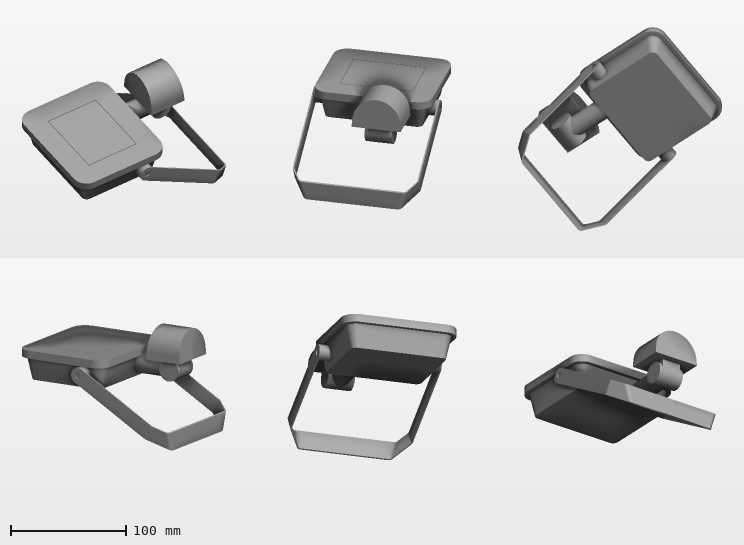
import cadquery as cq
import math


frame_x = 105.3
frame_y = 88.8
frame_thickness = 7.2
frame_corner_radius = 12.7
body_top_x = 96.8
body_top_y = 80.6
body_top_radius = 8.9
body_taper = 4.6
body_bottom_radius = 5.0
housing_height = 28.1

window_x = 65.6
window_y = 49.8
groove_width = 0.6
groove_depth = 0.6

bracket_x = 113.0
bracket_thickness = 1.2
strap_width = 14.0
strap_tilt = 30.0
hinge_y = 20.8
hinge_z = -15.0
hinge_hole_diameter = 5.5
web_outer_y = 152.6 - frame_y / 2
leg_length = 83.3
corner_angle = 32.0
bend_radius = 4.0

sensor_x = -17.4
sensor_y = 75.4
head_width = 44.0
head_depth = 34.5
head_bottom_z = -6.3
dome_base_z = 0.5
head_top_z = 21.0
head_draft = 3.7
arm_diameter = 18.0
elbow_diameter = 19.7
elbow_length = 24.4
neck_width = arm_diameter
elbow_z = head_bottom_z - elbow_diameter / 2


def rounded_rectangle(size_x, size_y, radius):
    return cq.Sketch().rect(size_x, size_y).vertices().fillet(radius)


def make_housing():
    frame = (
        cq.Workplane("XY")
        .placeSketch(rounded_rectangle(frame_x, frame_y, frame_corner_radius))
        .extrude(-frame_thickness)
    )
    body_height = housing_height - frame_thickness
    upper = rounded_rectangle(body_top_x, body_top_y, body_top_radius)
    lower = rounded_rectangle(
        body_top_x - 2 * body_taper, body_top_y - 2 * body_taper, body_bottom_radius
    )
    body = (
        cq.Workplane("XY", origin=(0, 0, -frame_thickness))
        .placeSketch(upper, lower.moved(cq.Location(cq.Vector(0, 0, -body_height))))
        .loft()
    )
    boss_span = bracket_x - 2 * bracket_thickness
    bosses = (
        cq.Workplane("YZ", origin=(-boss_span / 2, hinge_y, hinge_z))
        .circle(strap_width / 2)
        .extrude(boss_span)
    )
    groove = (
        cq.Workplane("XY")
        .rect(window_x, window_y)
        .rect(window_x - 2 * groove_width, window_y - 2 * groove_width)
        .extrude(-groove_depth)
    )
    return frame.union(body).union(bosses).cut(groove)


def strap_plane():
    """Plane at the hinge: local x follows X, local y runs along the strap."""
    tilt = math.radians(strap_tilt)
    return cq.Plane(
        origin=(0, hinge_y, hinge_z),
        xDir=(1, 0, 0),
        normal=(0, math.sin(tilt), math.cos(tilt)),
    )


def bracket_block(offset, radius):
    """Solid inside the bracket's outer faces moved inward by offset, with rounded bends."""
    half_x = bracket_x / 2 - offset
    angle = math.radians(corner_angle)
    bend = leg_length - offset * math.tan(angle / 2)
    tip = bend + half_x / math.tan(angle)
    back = -strap_width
    block = (
        cq.Workplane(strap_plane())
        .polyline([(-half_x, back), (half_x, back), (half_x, bend), (0, tip), (-half_x, bend)])
        .close()
        .extrude(strap_width, both=True)
    )
    end_y = web_outer_y - offset
    beyond_web = (
        cq.Workplane("XY")
        .box(2 * bracket_x, bracket_x, 4 * bracket_x, centered=(True, False, True))
        .translate((0, end_y, 0))
    )
    block = block.cut(beyond_web)
    leg_bends = block.edges(cq.selectors.ParallelDirSelector(strap_plane().zDir)).edges(
        cq.selectors.BoxSelector((-bracket_x, hinge_y, -bracket_x), (bracket_x, end_y, bracket_x))
    )
    web_bends = block.faces(">Y").edges("not |X")
    return block.newObject(leg_bends.vals() + web_bends.vals()).fillet(radius)


def make_bracket():
    shell = bracket_block(0, bend_radius).cut(
        bracket_block(bracket_thickness, bend_radius - bracket_thickness)
    )
    tilt = math.radians(strap_tilt)
    side = cq.Plane(
        origin=(-bracket_x, hinge_y, hinge_z),
        xDir=(0, math.cos(tilt), -math.sin(tilt)),
        normal=(1, 0, 0),
    )
    half_width = strap_width / 2
    band = (
        cq.Workplane(side)
        .moveTo(0, half_width)
        .lineTo(web_outer_y + strap_width, half_width)
        .lineTo(web_outer_y + strap_width, -half_width)
        .lineTo(0, -half_width)
        .threePointArc((-half_width, 0), (0, half_width))
        .close()
        .extrude(2 * bracket_x)
    )
    hinge_holes = cq.Workplane(side).circle(hinge_hole_diameter / 2).extrude(2 * bracket_x)
    return shell.intersect(band).cut(hinge_holes)


def make_sensor(housing):
    half_width = head_width / 2
    half_depth = head_depth / 2
    draft_slope = math.tan(math.radians(head_draft))
    dome_half_width = half_width - draft_slope * (dome_base_z - head_bottom_z)
    top_half_depth = half_depth - draft_slope * (head_top_z - head_bottom_z)
    dome = (
        cq.Workplane("XZ", origin=(sensor_x, sensor_y, 0))
        .moveTo(-half_width, head_bottom_z)
        .lineTo(half_width, head_bottom_z)
        .lineTo(dome_half_width, dome_base_z)
        .threePointArc((0, head_top_z), (-dome_half_width, dome_base_z))
        .close()
        .extrude(half_depth, both=True)
    )
    drafted_ends = (
        cq.Workplane("YZ", origin=(sensor_x, sensor_y, 0))
        .polyline([
            (-half_depth, head_bottom_z),
            (half_depth, head_bottom_z),
            (top_half_depth, head_top_z),
            (-top_half_depth, head_top_z),
        ])
        .close()
        .extrude(half_width, both=True)
    )
    elbow = (
        cq.Workplane("YZ", origin=(sensor_x, sensor_y, elbow_z))
        .circle(elbow_diameter / 2)
        .extrude(elbow_length / 2, both=True)
    )
    neck = cq.Workplane("XY", origin=(sensor_x, sensor_y, elbow_z)).box(
        neck_width, elbow_diameter / 2, elbow_diameter / 2, centered=(True, False, False)
    )
    arm_start_y = body_top_y / 2 - body_taper
    arm = (
        cq.Workplane("XZ", origin=(sensor_x, arm_start_y, elbow_z))
        .circle(arm_diameter / 2)
        .extrude(arm_start_y - sensor_y)
    )
    return dome.intersect(drafted_ends).union(elbow).union(neck).union(arm.cut(housing))


housing = make_housing()
bracket = make_bracket()
sensor = make_sensor(housing)

result = cq.Compound.makeCompound([
    housing.solids().val(),
    bracket.solids().val(),
    sensor.solids().val(),
])